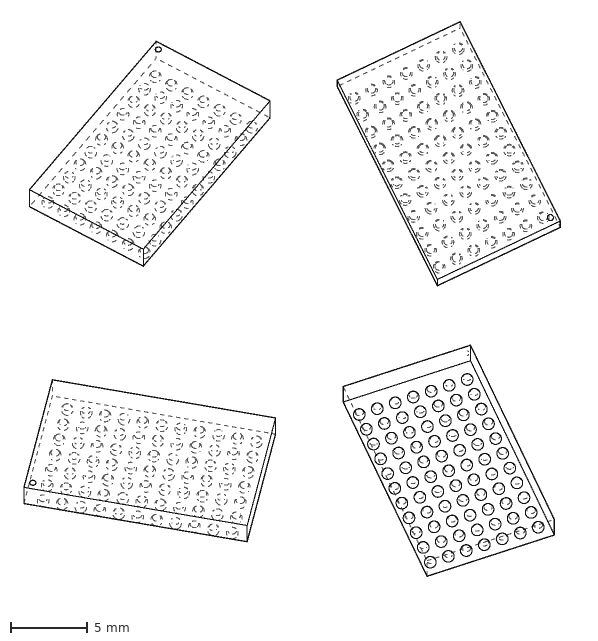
import cadquery as cq

body_width = 9.0
body_length = 15.0
total_height = 2.45
ball_drop = 0.65
body_height = total_height - ball_drop

ball_diameter = 0.76
columns = 7
rows = 11
row_span = 12.7
pitch = row_span / (rows - 1)

mark_diameter = 0.4
mark_inset = 0.5
mark_depth = 0.02


def make_body():
    return cq.Workplane("XY").box(body_width, body_length, body_height, centered=(True, True, False))


def cut_corner_mark(body):
    mark = (
        cq.Workplane("XY", origin=(0, 0, body_height))
        .center(mark_inset - body_width / 2, body_length / 2 - mark_inset)
        .circle(mark_diameter / 2)
        .extrude(-mark_depth)
    )
    return body.cut(mark)


def make_balls():
    ball_radius = ball_diameter / 2
    return (
        cq.Workplane("XY", origin=(0, 0, ball_radius - ball_drop))
        .rarray(pitch, pitch, columns, rows)
        .sphere(ball_radius)
    )


result = cut_corner_mark(make_body()).union(make_balls())